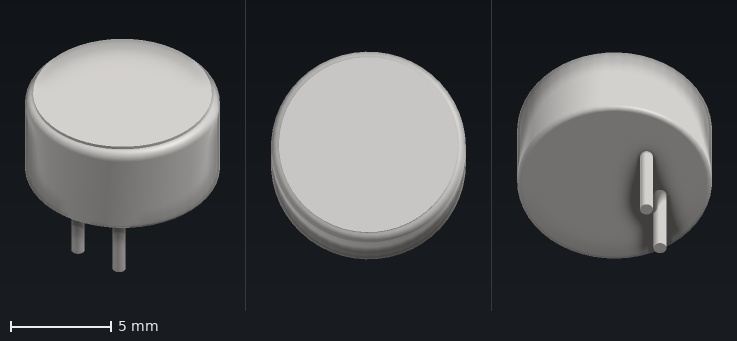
import cadquery as cq

body_diameter = 9.7
total_height = 9.17

cap_diameter = 8.895
cap_height = 0.15
cap_embed = 0.1

top_edge_radius = 0.485
bottom_edge_radius = 0.24

pin_diameter = 0.64
pin_length = 4.29
pin_spacing = 2.54
pin_offset_y = -2.0

body_height = total_height - pin_length - cap_height


def make_body():
    """Round body standing on Z = 0, with both rims rounded."""
    body = cq.Workplane("XY").circle(body_diameter / 2).extrude(body_height)
    body = body.faces(">Z").edges().fillet(top_edge_radius)
    return body.faces("<Z").edges().fillet(bottom_edge_radius)


def make_cap():
    """Thin disc rising out of the rounded top of the body."""
    base = cq.Workplane("XY").workplane(offset=body_height - cap_embed)
    return base.circle(cap_diameter / 2).extrude(cap_embed + cap_height)


def make_pins():
    """Two round pins hanging from the underside, off centre in Y."""
    centres = [(side * pin_spacing / 2, pin_offset_y) for side in (-1, 1)]
    return cq.Workplane("XY").pushPoints(centres).circle(pin_diameter / 2).extrude(-pin_length)


result = make_body().union(make_cap()).union(make_pins())